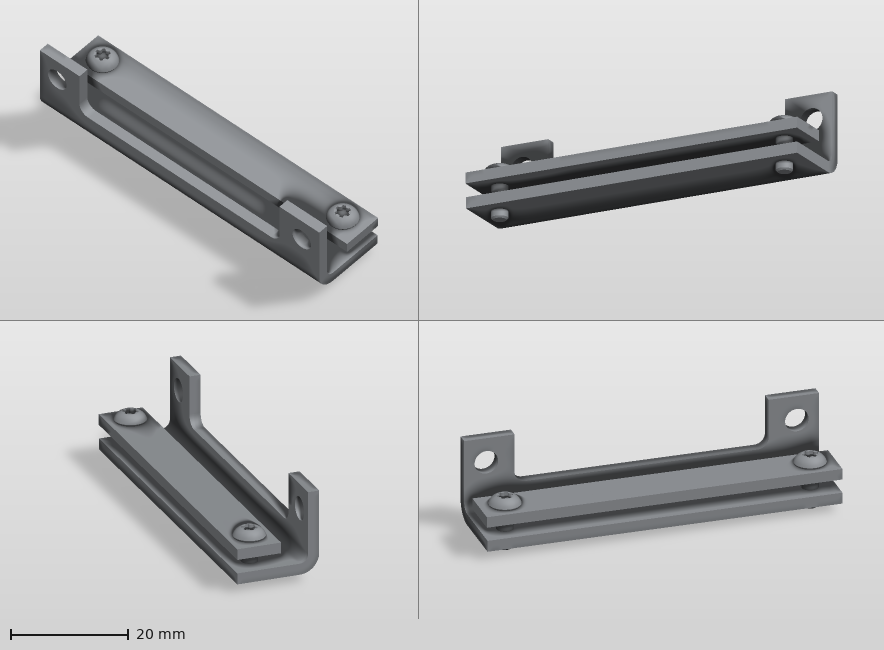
import cadquery as cq
import math

bracket_length = 63.4
bracket_depth = 15.0
bracket_height = 15.0
sheet = 2.05
bend_outer_radius = 3.55
bend_inner_radius = bend_outer_radius - sheet
ear_width = 9.0
ear_height = 9.0
notch_radius = 2.0
ear_hole_diameter = 4.2
ear_hole_spacing = 55.45
ear_hole_drop = 4.5

strip_length = 63.5
strip_depth = 8.0
strip_thickness = 2.0
strip_gap = 2.5
strip_bottom = sheet + strip_gap
strip_top = strip_bottom + strip_thickness

screw_diameter = 3.0
screw_spacing = 54.5
screw_edge_distance = 4.0
overall_height = 16.5
tip_z = bracket_height - overall_height
tip_chamfer = 0.3
head_diameter = 5.7
head_seat_diameter = 5.4
head_height = 1.7
head_rim_height = 0.3
head_flat_diameter = 3.0
head_bulge = 0.25
screw_y = bracket_depth - screw_edge_distance
screw_xs = [strip_length / 2 - screw_spacing / 2, strip_length / 2 + screw_spacing / 2]

lobe_count = 6
socket_radius = 1.4
rib_center_radius = 1.45
rib_radius = 0.45
socket_depth = 1.0


def cut_screw_holes(body):
    """Cut the vertical holes that the two screws fill."""
    for x in screw_xs:
        hole = cq.Workplane("XY").center(x, screw_y).circle(screw_diameter / 2).extrude(bracket_height)
        body = body.cut(hole)
    return body


def make_bracket():
    diagonal = math.sqrt(0.5)
    bend_center = bend_outer_radius
    outer_mid = bend_center - bend_outer_radius * diagonal
    inner_mid = bend_center - bend_inner_radius * diagonal
    body = (
        cq.Workplane("YZ")
        .moveTo(0, bracket_height)
        .lineTo(0, bend_center)
        .threePointArc((outer_mid, outer_mid), (bend_center, 0))
        .lineTo(bracket_depth, 0)
        .lineTo(bracket_depth, sheet)
        .lineTo(bend_center, sheet)
        .threePointArc((inner_mid, inner_mid), (sheet, bend_center))
        .lineTo(sheet, bracket_height)
        .close()
        .extrude(bracket_length)
    )

    notch = (
        cq.Workplane("XY")
        .box(bracket_length - 2 * ear_width, sheet, ear_height, centered=False)
        .edges("|Y and <Z")
        .fillet(notch_radius)
        .translate((ear_width, 0, bracket_height - ear_height))
    )
    body = body.cut(notch)

    for side in (-1, 1):
        x = bracket_length / 2 + side * ear_hole_spacing / 2
        hole = (
            cq.Workplane("XZ")
            .center(x, bracket_height - ear_hole_drop)
            .circle(ear_hole_diameter / 2)
            .extrude(-sheet)
        )
        body = body.cut(hole)
    return cut_screw_holes(body)


def make_strip():
    body = (
        cq.Workplane("XY")
        .box(strip_length, strip_depth, strip_thickness, centered=False)
        .translate((0, bracket_depth - strip_depth, strip_bottom))
    )
    return cut_screw_holes(body)


def make_socket():
    """Round recess narrowed to a six-lobe star by rounded ribs halfway between the lobes."""
    floor = cq.Workplane("XY").workplane(offset=strip_top + head_height - socket_depth)
    rib_start_angle = 180 / lobe_count
    ribs = (
        floor.polarArray(rib_center_radius, rib_start_angle, 360, lobe_count)
        .circle(rib_radius)
        .extrude(socket_depth)
    )
    return floor.circle(socket_radius).extrude(socket_depth).cut(ribs)


def make_screw(x):
    shank = screw_diameter / 2
    rim = head_diameter / 2
    flat = head_flat_diameter / 2
    head_top = strip_top + head_height
    rim_z = strip_top + head_rim_height

    chord = math.hypot(rim - flat, head_top - rim_z)
    dome_r = (rim + flat) / 2 + head_bulge * (head_top - rim_z) / chord
    dome_z = (rim_z + head_top) / 2 + head_bulge * (rim - flat) / chord

    body = (
        cq.Workplane("XZ")
        .moveTo(0, tip_z)
        .lineTo(shank - tip_chamfer, tip_z)
        .lineTo(shank, tip_z + tip_chamfer)
        .lineTo(shank, strip_top)
        .lineTo(head_seat_diameter / 2, strip_top)
        .lineTo(rim, rim_z)
        .threePointArc((dome_r, dome_z), (flat, head_top))
        .lineTo(0, head_top)
        .close()
        .revolve(360, (0, 0, 0), (0, 1, 0))
    )
    return body.cut(make_socket()).translate((x, screw_y, 0))


bracket = make_bracket()
strip = make_strip()
screws = [make_screw(x) for x in screw_xs]

result = cq.Compound.makeCompound([bracket.val(), strip.val(), *[screw.val() for screw in screws]])